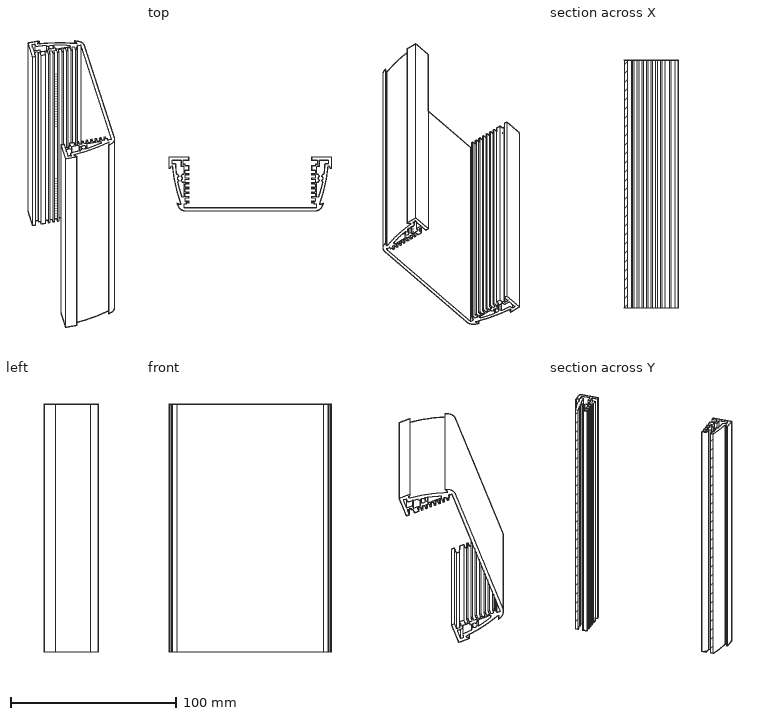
import cadquery as cq
import math


width = 98.5
depth = 32.8
length = 150.0

floor_thickness = 2.1
floor_top_d = depth - floor_thickness
corner_side_u = 5.6
corner_side_d = 29.7
corner_floor_u = 10.3

lip_tip_d = 27.9
groove_lip_u = 6.7
groove_arm_u = 7.3
groove_bottom_d = 28.7

rim_end_u = 12.1
rim_thickness = 2.0
hook_tip_d = 7.0
hook_tip_width = 0.6
hook_root_u = 1.5
hook_root_d = 5.6

arm_top_u = 2.1
arm_bow = 0.75
arm_thickness = 2.1

neck_outer_u = 7.4
neck_inner_u = 8.7
neck_outer_d = 5.7
neck_inner_d = 4.3
wall_outer_u = 9.1
wall_inner_u = 9.8
foot_top_d = 26.9
foot_bottom_d = 28.5
foot_inner_u = 10.6
foot_corner_u = 9.3

cavity_left_u = 2.0
cavity_ledge_d = 4.0
cavity_corner_radius = 0.9
cavity_bottom_u = 8.0
cavity_bottom_d = 24.2

rib_count = 7
rib_pitch = 2.8
rib_thickness = 1.0
first_rib_d = 9.9
top_rib_d = 5.3
top_rib_thickness = 2.8
rib_root_radius = 0.3

screw_u = 6.7
screw_d = 12.9
screw_radius = 1.4
pad_gap = 1.4
pad_height = 4.9
pad_tip_height = 3.0
pad_shoulder = 0.8
pad_root_reach = 2.9


def point(u, d):
    """Convert sidewall coordinates to X and Y."""
    return (u - width / 2, depth / 2 - d)


def bow_middle(start, end, bow):
    """Middle of an arc that bulges outward (-X, -Y) from the chord start-end."""
    du = end[0] - start[0]
    dd = end[1] - start[1]
    chord = math.hypot(du, dd)
    middle_u = (start[0] + end[0]) / 2 - bow * dd / chord
    middle_d = (start[1] + end[1]) / 2 + bow * du / chord
    return point(middle_u, middle_d)


def block(u_start, u_end, d_start, d_end):
    """Full-length bar with a rectangular section."""
    return (
        cq.Workplane("XY")
        .moveTo(*point(u_start, d_start))
        .lineTo(*point(u_end, d_start))
        .lineTo(*point(u_end, d_end))
        .lineTo(*point(u_start, d_end))
        .close()
        .extrude(length)
    )


def half_body():
    """Left half of the channel, with its sidewall still solid."""
    arm_top = (arm_top_u, hook_root_d)
    arm_bottom = (groove_arm_u, groove_bottom_d)
    corner_start = (corner_side_u, corner_side_d)
    corner_end = (corner_floor_u, depth)
    corner_run = corner_floor_u - corner_side_u
    corner_rise = depth - corner_side_d
    chord_angle = math.atan2(corner_rise, corner_run)
    corner_start_lean = math.pi / 2 - 2 * chord_angle
    corner_bow = math.hypot(corner_run, corner_rise) / 2 * math.tan(chord_angle / 2)
    lip_tip_u = corner_side_u - (corner_side_d - lip_tip_d) * math.tan(corner_start_lean)
    return (
        cq.Workplane("XY")
        .moveTo(*point(width / 2, depth))
        .lineTo(*point(*corner_end))
        .threePointArc(bow_middle(corner_start, corner_end, corner_bow), point(*corner_start))
        .lineTo(*point(lip_tip_u, lip_tip_d))
        .lineTo(*point(groove_lip_u, groove_bottom_d))
        .lineTo(*point(*arm_bottom))
        .threePointArc(bow_middle(arm_top, arm_bottom, arm_bow), point(*arm_top))
        .lineTo(*point(hook_root_u, hook_root_d))
        .lineTo(*point(hook_tip_width, hook_tip_d))
        .lineTo(*point(0, hook_tip_d))
        .lineTo(*point(0, 0))
        .lineTo(*point(rim_end_u, 0))
        .lineTo(*point(rim_end_u, rim_thickness))
        .lineTo(*point(neck_inner_u, rim_thickness))
        .lineTo(*point(neck_inner_u, neck_inner_d))
        .lineTo(*point(wall_inner_u, neck_inner_d))
        .lineTo(*point(wall_inner_u, foot_top_d))
        .lineTo(*point(foot_inner_u, foot_top_d))
        .lineTo(*point(foot_inner_u, foot_bottom_d))
        .lineTo(*point(foot_corner_u, foot_bottom_d))
        .lineTo(*point(foot_corner_u, floor_top_d))
        .lineTo(*point(width / 2, floor_top_d))
        .close()
        .extrude(length)
    )


def cavity():
    """Hollow between the bowed arm and the inner wall."""
    ledge_end_u = arm_top_u + arm_thickness - cavity_corner_radius
    arm_start = (arm_top_u + arm_thickness, cavity_ledge_d + cavity_corner_radius)
    arm_end = (cavity_bottom_u, cavity_bottom_d)
    corner_offset = cavity_corner_radius * math.sqrt(0.5)
    corner_middle = point(ledge_end_u + corner_offset, arm_start[1] - corner_offset)
    return (
        cq.Workplane("XY")
        .moveTo(*point(cavity_left_u, rim_thickness))
        .lineTo(*point(cavity_left_u, cavity_ledge_d))
        .lineTo(*point(ledge_end_u, cavity_ledge_d))
        .threePointArc(corner_middle, point(*arm_start))
        .threePointArc(bow_middle(arm_start, arm_end, arm_bow), point(*arm_end))
        .lineTo(*point(wall_outer_u, cavity_bottom_d))
        .lineTo(*point(wall_outer_u, neck_outer_d))
        .lineTo(*point(neck_outer_u, neck_outer_d))
        .lineTo(*point(neck_outer_u, rim_thickness))
        .close()
        .extrude(length)
    )


def ribs():
    """Thick top rib and the row of thin ribs below it."""
    bars = block(wall_outer_u, rim_end_u, top_rib_d, top_rib_d + top_rib_thickness)
    for index in range(rib_count):
        rib_d = first_rib_d + index * rib_pitch
        bars = bars.union(block(wall_outer_u, rim_end_u, rib_d, rib_d + rib_thickness))
    return bars


def screw_pad(side):
    """Bevelled pad on one side of the screw channel; side is -1 (arm) or +1 (wall)."""
    tip_u = screw_u + side * pad_gap / 2
    shoulder_u = tip_u + side * pad_shoulder
    root_u = screw_u + side * pad_root_reach
    return (
        cq.Workplane("XY")
        .moveTo(*point(root_u, screw_d - pad_height / 2))
        .lineTo(*point(shoulder_u, screw_d - pad_height / 2))
        .lineTo(*point(tip_u, screw_d - pad_tip_height / 2))
        .lineTo(*point(tip_u, screw_d + pad_tip_height / 2))
        .lineTo(*point(shoulder_u, screw_d + pad_height / 2))
        .lineTo(*point(root_u, screw_d + pad_height / 2))
        .close()
        .extrude(length)
    )


def screw_bore():
    """Round passage between the two pads."""
    return cq.Workplane("XY").moveTo(*point(screw_u, screw_d)).circle(screw_radius).extrude(length)


def round_rib_roots(body):
    """Fillet the concave corners where the ribs meet the inner wall."""
    left, upper = point(wall_inner_u - rib_root_radius / 2, top_rib_d - rib_root_radius / 2)
    right, lower = point(wall_inner_u + rib_root_radius / 2, foot_top_d - rib_root_radius / 2)
    roots = cq.selectors.BoxSelector((left, lower, 0), (right, upper, length))
    return body.edges("|Z").edges(roots).fillet(rib_root_radius)


left_half = round_rib_roots(half_body().cut(cavity()).union(ribs()))
for pad_side in (-1, 1):
    left_half = left_half.union(screw_pad(pad_side))
left_half = left_half.cut(screw_bore())

right_half = left_half.mirror("YZ")
result = left_half.union(right_half).clean()